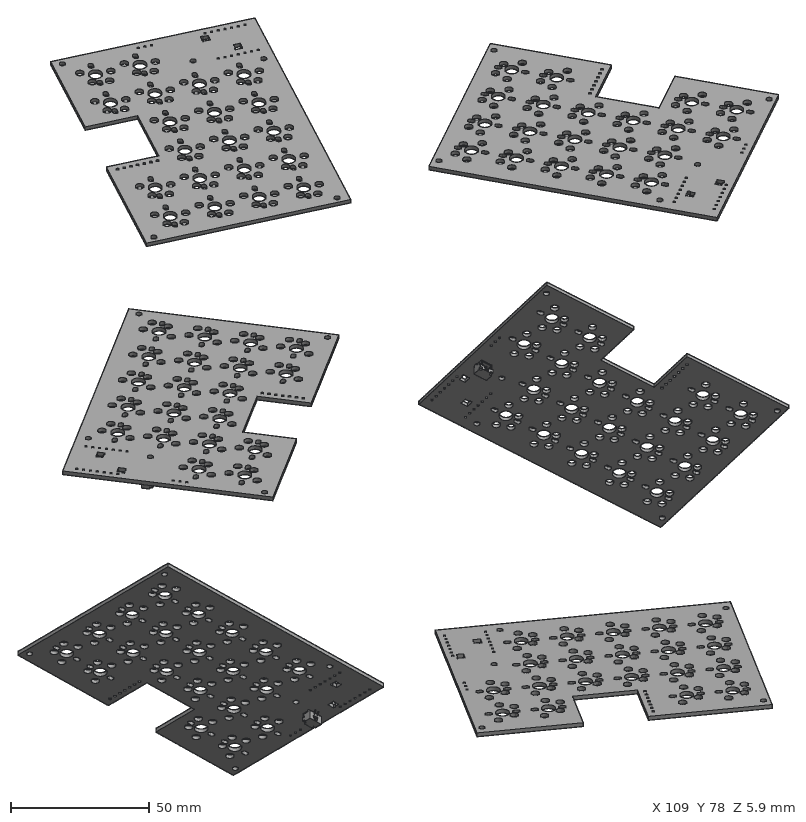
import cadquery as cq

BOARD_LENGTH = 109.0
BOARD_WIDTH = 78.0
BOARD_THICKNESS = 1.6

NOTCH_LEFT = 39.2
NOTCH_LENGTH = 24.0
NOTCH_DEPTH = 20.1

MOUNT_DIAMETER = 2.2
MOUNT_SIDE_MARGIN = 2.5
MOUNT_LOW_Y = 3.6
MOUNT_HIGH_Y = 73.7
INNER_MOUNTS = [(23.0, MOUNT_HIGH_Y), (16.0, 49.0)]

KEY_PITCH = 17.0
KEY_COLUMNS = 6
FIRST_KEY_X = (BOARD_LENGTH - (KEY_COLUMNS - 1) * KEY_PITCH) / 2
TOP_KEY_Y = 64.1
ROW_COLUMNS = [
    (1, 2, 3, 4, 5),
    (1, 2, 3, 4, 5),
    (0, 1, 2, 3, 4, 5),
    (0, 1, 4, 5),
]
KEY_CENTRE_DIAMETER = 5.0
KEY_PIN_DIAMETER = 3.0
KEY_PIN_OFFSETS = [(0.0, 5.9), (5.0, 3.7), (3.8, -2.5), (-2.5, -5.1)]
KEY_SLOT_OFFSET = 5.1
KEY_SLOT_LENGTH = 2.7
KEY_SLOT_WIDTH = 1.9

PIN_COUNT = 7
PIN_ROW_LENGTH = 15.3
PIN_PITCH = PIN_ROW_LENGTH / (PIN_COUNT - 1)
CONTROLLER_PIN_DIAMETER = 0.82
CONTROLLER_LEFT_X = 2.5
CONTROLLER_ROW_SPACING = 15.2
CONTROLLER_TOP_Y = 73.4
DISPLAY_PIN_DIAMETER = 1.0
DISPLAY_X = 65.7
DISPLAY_TOP_Y = 18.7

TERMINAL_DIAMETER = 0.82
TERMINAL_COUNT = 3
TERMINAL_X = 2.7
TERMINAL_TOP_Y = 37.6

WINDOW_LENGTH = 2.8
WINDOW_WIDTH = 2.5
WINDOW_STEP_LENGTH = 1.0
WINDOW_STEP_DEPTH = 0.3
WINDOW_PLACES = [(13.4, 67.1, 0), (5.3, 57.3, -90)]

HOUSING_LENGTH = 5.7
HOUSING_DEPTH = 4.0
HOUSING_HEIGHT = 4.3
HOUSING_X = 6.8
HOUSING_FRONT_Y = 45.7
HOUSING_BACK_CHAMFER = 0.8

POCKET_LENGTH = 3.9
POCKET_TOP = 0.5
POCKET_HEIGHT = 1.6
BACK_WALL = 0.9

PASSAGE_TOP_LENGTH = 2.2
PASSAGE_LOW_LENGTH = 1.4
PASSAGE_HEIGHT = 1.5

SIDE_RELIEF = 0.4
SIDE_RELIEF_FRONT = 0.9
SIDE_RELIEF_HEIGHT = 2.0
SIDE_RELIEF_TOP = 0.5
SIDE_RELIEF_DEPTH = 2.6
CORNER_NOTCH_SIZE = 1.0
CORNER_NOTCH_HEIGHT = 0.8

CONTACT_PITCH = 1.5
CONTACT_WIDTH = 0.4
CONTACT_LENGTH = 2.0
LEAD_REACH = 0.8
LEAD_ROOT_TOP = 1.0
LEAD_ROOT_LOW = 1.4
LEAD_FOOT_LENGTH = 0.4


def drill(board, points, diameter):
    """Cut round through holes at the given board positions."""
    holes = cq.Workplane("XY").pushPoints(points).circle(diameter / 2).extrude(BOARD_THICKNESS)
    return board.cut(holes)


def pin_row(x, top_y, count):
    """Positions of a row of pins that runs down from top_y."""
    return [(x, top_y - i * PIN_PITCH) for i in range(count)]


def key_centres():
    """Board positions of all key centres."""
    return [
        (FIRST_KEY_X + column * KEY_PITCH, TOP_KEY_Y - row * KEY_PITCH)
        for row, columns in enumerate(ROW_COLUMNS)
        for column in columns
    ]


def cut_keys(board):
    """Cut the centre hole, four pin holes and two side slots of every key."""
    centres = key_centres()
    pins = [(x + dx, y + dy) for x, y in centres for dx, dy in KEY_PIN_OFFSETS]
    slots = [(x + side * KEY_SLOT_OFFSET, y) for x, y in centres for side in (-1, 1)]
    board = drill(board, centres, KEY_CENTRE_DIAMETER)
    board = drill(board, pins, KEY_PIN_DIAMETER)
    slot_cutter = (
        cq.Workplane("XY")
        .pushPoints(slots)
        .slot2D(KEY_SLOT_LENGTH, KEY_SLOT_WIDTH)
        .extrude(BOARD_THICKNESS)
    )
    return board.cut(slot_cutter)


def make_window(x, y, turn):
    """Cutter for an access window whose lower edge steps outward at its right end."""
    right = WINDOW_LENGTH / 2
    top = WINDOW_WIDTH / 2
    window = (
        cq.Workplane("XY")
        .moveTo(-right, top)
        .lineTo(right, top)
        .lineTo(right, -top - WINDOW_STEP_DEPTH)
        .lineTo(right - WINDOW_STEP_LENGTH, -top - WINDOW_STEP_DEPTH)
        .lineTo(right - WINDOW_STEP_LENGTH, -top)
        .lineTo(-right, -top)
        .close()
        .extrude(BOARD_THICKNESS)
    )
    return window.rotate((0, 0, 0), (0, 0, 1), turn).translate((x, y, 0))


def make_board():
    board = cq.Workplane("XY").box(BOARD_LENGTH, BOARD_WIDTH, BOARD_THICKNESS, centered=False)
    notch = cq.Workplane("XY").box(NOTCH_LENGTH, NOTCH_DEPTH, BOARD_THICKNESS, centered=False)
    board = board.cut(notch.translate((NOTCH_LEFT, 0, 0)))

    right_mount_x = BOARD_LENGTH - MOUNT_SIDE_MARGIN
    corner_mounts = [
        (MOUNT_SIDE_MARGIN, MOUNT_LOW_Y),
        (right_mount_x, MOUNT_LOW_Y),
        (right_mount_x, MOUNT_HIGH_Y),
    ]
    board = drill(board, corner_mounts + INNER_MOUNTS, MOUNT_DIAMETER)
    board = cut_keys(board)

    for x in (CONTROLLER_LEFT_X, CONTROLLER_LEFT_X + CONTROLLER_ROW_SPACING):
        board = drill(board, pin_row(x, CONTROLLER_TOP_Y, PIN_COUNT), CONTROLLER_PIN_DIAMETER)
    board = drill(board, pin_row(DISPLAY_X, DISPLAY_TOP_Y, PIN_COUNT), DISPLAY_PIN_DIAMETER)
    board = drill(board, pin_row(TERMINAL_X, TERMINAL_TOP_Y, TERMINAL_COUNT), TERMINAL_DIAMETER)

    for x, y, turn in WINDOW_PLACES:
        board = board.cut(make_window(x, y, turn))
    return board


def block(length, depth, height, x, front_y, top_z):
    """Box centred on x, reaching back from front_y and down from top_z."""
    box = cq.Workplane("XY").box(length, depth, height, centered=(True, False, False))
    return box.translate((x, front_y, top_z - height))


def make_housing():
    """Connector shell with its open front, rear passage and side reliefs, centred on X = 0."""
    housing = block(HOUSING_LENGTH, HOUSING_DEPTH, HOUSING_HEIGHT, 0, 0, 0)
    housing = housing.edges(">Y and >Z").chamfer(HOUSING_BACK_CHAMFER)
    housing = housing.cut(
        block(POCKET_LENGTH, HOUSING_DEPTH - BACK_WALL, POCKET_HEIGHT, 0, 0, -POCKET_TOP)
    )

    passage_top = -POCKET_TOP - POCKET_HEIGHT
    passage_low = passage_top - PASSAGE_HEIGHT
    passage = (
        cq.Workplane("XZ")
        .polyline([
            (-PASSAGE_TOP_LENGTH / 2, passage_top),
            (PASSAGE_TOP_LENGTH / 2, passage_top),
            (PASSAGE_LOW_LENGTH / 2, passage_low),
            (-PASSAGE_LOW_LENGTH / 2, passage_low),
        ])
        .close()
        .extrude(-HOUSING_DEPTH)
    )
    housing = housing.cut(passage)

    notch_top = CORNER_NOTCH_HEIGHT - HOUSING_HEIGHT
    for side in (-1, 1):
        relief_x = side * (HOUSING_LENGTH - SIDE_RELIEF) / 2
        notch_x = side * (HOUSING_LENGTH - CORNER_NOTCH_SIZE) / 2
        housing = (
            housing
            .cut(block(SIDE_RELIEF, SIDE_RELIEF_FRONT, SIDE_RELIEF_HEIGHT, relief_x, 0, 0))
            .cut(block(SIDE_RELIEF, SIDE_RELIEF_DEPTH, SIDE_RELIEF_TOP, relief_x, 0, 0))
            .cut(block(
                CORNER_NOTCH_SIZE, CORNER_NOTCH_SIZE, CORNER_NOTCH_HEIGHT, notch_x, 0, notch_top
            ))
        )
    return housing


def make_contact(x):
    """Upright blade that fills the pocket height and joins its back wall."""
    blade_front = HOUSING_DEPTH - BACK_WALL - CONTACT_LENGTH
    return block(CONTACT_WIDTH, CONTACT_LENGTH, POCKET_HEIGHT, x, blade_front, -POCKET_TOP)


def make_lead(x):
    """Strip that slopes from the back of the housing up to a foot on the board."""
    lead = (
        cq.Workplane("YZ")
        .polyline([
            (HOUSING_DEPTH, -LEAD_ROOT_LOW),
            (HOUSING_DEPTH + LEAD_REACH, 0),
            (HOUSING_DEPTH + LEAD_REACH - LEAD_FOOT_LENGTH, 0),
            (HOUSING_DEPTH, -LEAD_ROOT_TOP),
        ])
        .close()
        .extrude(CONTACT_WIDTH)
    )
    return lead.translate((x - CONTACT_WIDTH / 2, 0, 0))


def make_connector():
    connector = make_housing()
    for x in (-CONTACT_PITCH / 2, CONTACT_PITCH / 2):
        connector = connector.union(make_contact(x)).union(make_lead(x))
    return connector.translate((HOUSING_X, HOUSING_FRONT_Y, 0))


board = make_board()
connector = make_connector()

result = cq.Compound.makeCompound([board.val(), connector.val()])